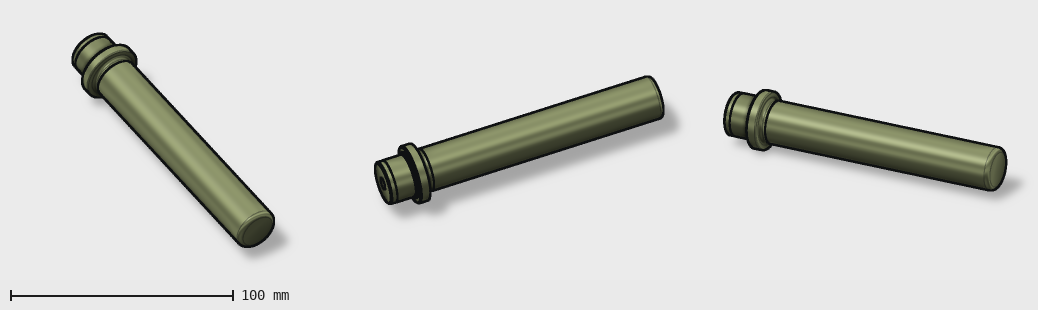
import cadquery as cq
import math

length = 133.0
shaft_radius = 10.0
collar_radius = 27.0 / 2
collar_start = 12.9
collar_width = 4.9
collar_chamfer = 0.5
collar_rounding = 0.5

lead_length = 3.0
lead_radius = 19.8 / 2
lead_chamfer = 0.5

undercut_depth = 0.4
stub_undercut_width = 0.9
stub_recess_radius = 10.9
stub_recess_depth = 0.3
stub_recess_bevel = 0.3
shaft_undercut_width = 3.0
shaft_undercut_arc_span = 1.6
undercut_corner = shaft_undercut_width - shaft_undercut_arc_span

end_rounding = 2.0
centre_radius = 2.8
hole_depth = 10.6
centre_cone_angle = 118.0

collar_end = collar_start + collar_width
undercut_radius = shaft_radius - undercut_depth
undercut_end = collar_end + shaft_undercut_width


def turned_pin():
    """Half profile in the XY plane, revolved about the X axis."""
    profile = (
        cq.Workplane("XY")
        .moveTo(0, 0)
        .lineTo(0, lead_radius - lead_chamfer)
        .lineTo(lead_chamfer, lead_radius)
        .lineTo(lead_length, lead_radius)
        .lineTo(lead_length, shaft_radius)
        .lineTo(collar_start - stub_undercut_width, shaft_radius)
        .lineTo(collar_start - stub_undercut_width + undercut_depth, undercut_radius)
        .lineTo(collar_start + stub_recess_depth, undercut_radius)
        .lineTo(collar_start + stub_recess_depth, stub_recess_radius - stub_recess_bevel)
        .lineTo(collar_start, stub_recess_radius)
        .lineTo(collar_start, collar_radius - collar_chamfer)
        .lineTo(collar_start + collar_chamfer, collar_radius)
        .lineTo(collar_end - collar_rounding, collar_radius)
        .tangentArcPoint((collar_end, collar_radius - collar_rounding), relative=False)
        .lineTo(collar_end, undercut_radius + undercut_corner)
        .tangentArcPoint((collar_end + undercut_corner, undercut_radius), relative=False)
        .tangentArcPoint((undercut_end, shaft_radius), relative=False)
        .lineTo(length - end_rounding, shaft_radius)
        .tangentArcPoint((length, shaft_radius - end_rounding), relative=False)
        .lineTo(length, 0)
        .close()
    )
    return profile.revolve(360, (0, 0, 0), (1, 0, 0))


def centre_hole():
    """Blind drilled hole opening at the stub end."""
    tip_depth = hole_depth + centre_radius / math.tan(math.radians(centre_cone_angle / 2))
    outline = [(0, 0), (0, centre_radius), (hole_depth, centre_radius), (tip_depth, 0)]
    profile = cq.Workplane("XY").polyline(outline).close()
    return profile.revolve(360, (0, 0, 0), (1, 0, 0))


result = turned_pin().cut(centre_hole())